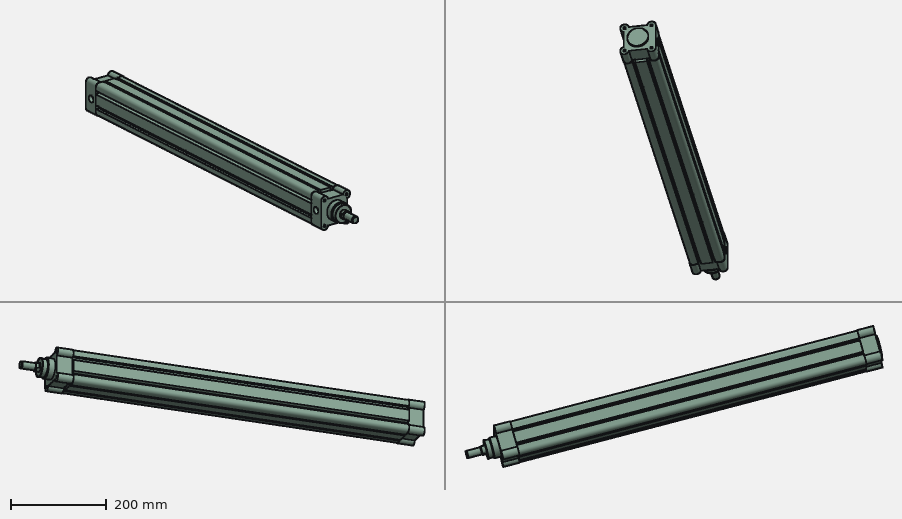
import cadquery as cq

TOTAL_LENGTH = 894.0

CAP_SIZE = 76.0
CAP_LENGTH = 35.0
CAP_RECESS_HALF = 30.0
SCREW_OFFSET = 29.0
SCREW_HOLE_DIAMETER = 5.0
SCREW_HOLE_DEPTH = 9.0
PORT_DIAMETER = 15.0
PORT_DEPTH = 11.0
PORT_SHIFT = 3.0
REAR_PORT_X = 22.0
FRONT_PORT_X = 806.0

BOSS_DIAMETER = 45.0
REAR_BOSS_LENGTH = 4.0
FRONT_BOSS_LENGTH = 14.0
COLLAR_DIAMETER = 41.0
COLLAR_WAIST_DIAMETER = 39.0
COLLAR_INNER_RIM = 2.0
COLLAR_OUTER_RIM = 1.0
COLLAR_LENGTH = 13.0

BARREL_SIZE = 74.0
BARREL_END_X = 789.0
GROOVE_FLOOR_HALF = 29.5
PANEL_TOP_HALF_WIDTH = 12.5
SIDE_PANEL_FOOT_HALF_WIDTH = 15.0
SIDE_GROOVE_OUTER_HALF_WIDTH = 21.0
TOP_GROOVE_OUTER_HALF_WIDTH = 18.0

ROD_DIAMETER = 20.0
ROD_SHOULDER_LENGTH = 11.0
ROD_CHAMFER = 2.0
ROD_FLAT_WIDTH = 17.0
ROD_FLAT_LENGTH = 7.0
THREAD_DIAMETER = 16.0
THREAD_CHAMFER = 3.0
THREAD_CHAMFER_DEPTH = 1.0

CAP_HALF = CAP_SIZE / 2
LOBE_RADIUS = CAP_HALF - SCREW_OFFSET
BARREL_HALF = BARREL_SIZE / 2
BARREL_START_X = REAR_BOSS_LENGTH + CAP_LENGTH
FRONT_CAP_END_X = BARREL_END_X + CAP_LENGTH
COLLAR_START_X = FRONT_CAP_END_X + FRONT_BOSS_LENGTH
ROD_START_X = COLLAR_START_X + COLLAR_LENGTH
THREAD_START_X = ROD_START_X + ROD_SHOULDER_LENGTH
X_AXIS = ((0, 0, 0), (1, 0, 0))
SCREW_POINTS = [(y, z) for y in (-SCREW_OFFSET, SCREW_OFFSET) for z in (-SCREW_OFFSET, SCREW_OFFSET)]


def section_plane(x):
    """Workplane across the axis at x; its local axes are Y and Z, and it extrudes toward +X."""
    return cq.Workplane("YZ", origin=(x, 0, 0))


def disc(x, diameter, length):
    """Round bar along the cylinder axis."""
    return section_plane(x).circle(diameter / 2).extrude(length)


def cap_block(x):
    """Cap with four round corner lobes, recessed between them except on the flat port side (-Y)."""
    core_width = CAP_RECESS_HALF * 2
    core = section_plane(x).rect(core_width, core_width).extrude(CAP_LENGTH)
    lobes = section_plane(x).pushPoints(SCREW_POINTS).circle(LOBE_RADIUS).extrude(CAP_LENGTH)
    port_side = (
        section_plane(x)
        .center((-CAP_HALF - SCREW_OFFSET) / 2, 0)
        .rect(LOBE_RADIUS, SCREW_OFFSET * 2)
        .extrude(CAP_LENGTH)
    )
    return core.union(lobes).union(port_side)


def port(x, z):
    """Air port bored into the -Y side."""
    return (
        cq.Workplane("XZ", origin=(x, -CAP_HALF, z))
        .circle(PORT_DIAMETER / 2)
        .extrude(-PORT_DEPTH)
    )


def screw_holes(x, depth):
    """Four blind holes on the lobe axes; a negative depth runs toward -X."""
    return section_plane(x).pushPoints(SCREW_POINTS).circle(SCREW_HOLE_DIAMETER / 2).extrude(depth)


def make_rear_cap():
    cap = cap_block(REAR_BOSS_LENGTH)
    cap = cap.union(disc(0, BOSS_DIAMETER, REAR_BOSS_LENGTH))
    cap = cap.cut(screw_holes(REAR_BOSS_LENGTH, SCREW_HOLE_DEPTH))
    return cap.cut(port(REAR_PORT_X, -PORT_SHIFT))


def make_collar():
    """Bearing collar around the rod, with a narrow rim at each end of its waist."""
    waist = disc(COLLAR_START_X, COLLAR_WAIST_DIAMETER, COLLAR_LENGTH)
    inner_rim = disc(COLLAR_START_X, COLLAR_DIAMETER, COLLAR_INNER_RIM)
    outer_rim = disc(ROD_START_X, COLLAR_DIAMETER, -COLLAR_OUTER_RIM)
    return waist.union(inner_rim).union(outer_rim)


def make_front_cap():
    cap = cap_block(BARREL_END_X)
    cap = cap.union(disc(FRONT_CAP_END_X, BOSS_DIAMETER, FRONT_BOSS_LENGTH))
    cap = cap.union(make_collar())
    cap = cap.cut(screw_holes(FRONT_CAP_END_X, -SCREW_HOLE_DEPTH))
    return cap.cut(port(FRONT_PORT_X, PORT_SHIFT))


def barrel_groove(side, foot_half_width, outer_half_width):
    """Lengthwise groove beside the raised middle panel of the barrel's +Z face."""
    return (
        section_plane(BARREL_START_X)
        .polyline([
            (side * PANEL_TOP_HALF_WIDTH, BARREL_HALF),
            (side * foot_half_width, GROOVE_FLOOR_HALF),
            (side * outer_half_width, GROOVE_FLOOR_HALF),
            (side * outer_half_width, BARREL_HALF),
        ])
        .close()
        .extrude(BARREL_END_X - BARREL_START_X)
    )


def make_barrel():
    barrel = (
        section_plane(BARREL_START_X)
        .rect(BARREL_SIZE, BARREL_SIZE)
        .extrude(BARREL_END_X - BARREL_START_X)
        .edges("|X")
        .fillet(BARREL_HALF - SCREW_OFFSET)
    )
    for side in (-1, 1):
        top_groove = barrel_groove(side, PANEL_TOP_HALF_WIDTH, TOP_GROOVE_OUTER_HALF_WIDTH)
        side_groove = barrel_groove(side, SIDE_PANEL_FOOT_HALF_WIDTH, SIDE_GROOVE_OUTER_HALF_WIDTH)
        for turn in (0, 180):
            barrel = barrel.cut(top_groove.rotate(*X_AXIS, turn))
            barrel = barrel.cut(side_groove.rotate(*X_AXIS, turn + 90))
    return barrel


def make_shoulder():
    """Full rod diameter, with two wrench flats facing -Y and +Y."""
    shoulder = disc(ROD_START_X, ROD_DIAMETER, ROD_SHOULDER_LENGTH).faces(">X").chamfer(ROD_CHAMFER)
    round_part = disc(ROD_START_X, ROD_DIAMETER, ROD_SHOULDER_LENGTH - ROD_FLAT_LENGTH)
    flat_part = (
        section_plane(THREAD_START_X)
        .rect(ROD_FLAT_WIDTH, ROD_DIAMETER)
        .extrude(-ROD_FLAT_LENGTH)
    )
    return shoulder.intersect(round_part.union(flat_part))


def make_rod():
    thread = disc(THREAD_START_X, THREAD_DIAMETER, TOTAL_LENGTH - THREAD_START_X)
    thread = thread.faces(">X").chamfer(THREAD_CHAMFER, THREAD_CHAMFER_DEPTH)
    return make_shoulder().union(thread)


rear_cap = make_rear_cap()
barrel = make_barrel()
front_cap = make_front_cap()
rod = make_rod()

result = cq.Compound.makeCompound([rear_cap.val(), barrel.val(), front_cap.val(), rod.val()])